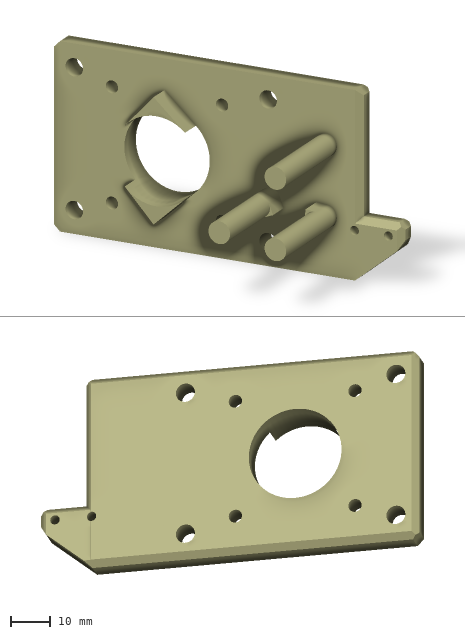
import cadquery as cq
import math

plate_length = 86.3
plate_height = 50.8
plate_thickness = 6.5
bevel = 1.7

tab_end = 98.1
tab_top = 16.9
tab_thickness = 6.3
tab_start = plate_length - bevel
tab_bend = (tab_end - bevel, 9.6)
tab_nose_bottom = 12.4

motor_x = 31.8
motor_z = plate_height / 2
motor_diameter = 24.0
motor_screw_spacing = 31.0
motor_screw_diameter = 3.4

mount_left_x = 5.7
mount_right_x = 60.2
mount_spacing_z = 38.1
mount_diameter = 4.9

tab_hole_xs = (84.6, 94.1)
tab_hole_z = 13.3
tab_hole_diameter = 2.5

pin_diameter = 6.1
pin_length = 28.5
pins = (
    (76.5, 34.9, -99),
    (76.5, 15.9, 129),
    (60.7, 18.0, -24),
)

point_height = 6.1
motor_point_angles = (92.5, -92.5)


def prism(outline, y_start, y_end):
    """Extrude an XZ outline from y_start to y_end."""
    sketch = cq.Workplane("XZ", origin=(0, y_start, 0)).polyline(outline).close()
    return sketch.extrude(y_start - y_end)


def cylinder(x, z, diameter, y_start, y_end):
    """Round bar along Y."""
    sketch = cq.Workplane("XZ", origin=(0, y_start, 0)).center(x, z)
    return sketch.circle(diameter / 2).extrude(y_start - y_end)


def make_plate():
    """Plate with bevels on its upright corners, back edges and front right edge."""
    outline = cq.Workplane("XZ").rect(plate_length, plate_height, centered=False)
    corners = outline.extrude(-plate_thickness).edges("|Y").chamfer(bevel)
    across = cq.Workplane("XY").rect(plate_length, plate_thickness, centered=False)
    sides = across.extrude(plate_height).edges("|Z and (>Y or >X)").chamfer(bevel)
    profile = cq.Workplane("YZ").rect(plate_thickness, plate_height, centered=False)
    edges = profile.extrude(plate_length).edges("|X and >Y").chamfer(bevel)
    return corners.intersect(sides).intersect(edges)


def make_tab():
    """Tab with a sloped underside and bevelled end, top and back edges."""
    outline = prism(
        [
            (tab_start, 0),
            tab_bend,
            (tab_end, tab_nose_bottom),
            (tab_end, tab_top - bevel),
            (tab_end - bevel, tab_top),
            (tab_start, tab_top),
        ],
        0,
        tab_thickness,
    )
    envelope = cq.Workplane("XY").box(tab_end, tab_thickness, tab_top, centered=False)
    end_bevels = envelope.edges("|Z and >X").chamfer(bevel)
    long_bevels = envelope.edges("|X and (>Z or >Y)").chamfer(bevel)
    return outline.intersect(end_bevels).intersect(long_bevels)


def pointed_base(x, z, diameter, angle):
    """Square on the circle centre, with two sides tangent to the circle and a tip at the angle."""
    radius = diameter / 2

    def polar(distance, degrees):
        turn = math.radians(degrees)
        return (x + distance * math.cos(turn), z + distance * math.sin(turn))

    outline = [
        (x, z),
        polar(radius, angle - 45),
        polar(radius * math.sqrt(2), angle),
        polar(radius, angle + 45),
    ]
    return prism(outline, -point_height, plate_thickness / 2)


result = make_plate().union(make_tab())

for point_angle in motor_point_angles:
    result = result.union(pointed_base(motor_x, motor_z, motor_diameter, point_angle))

for pin_x, pin_z, pin_angle in pins:
    result = result.union(cylinder(pin_x, pin_z, pin_diameter, -pin_length, plate_thickness / 2))
    result = result.union(pointed_base(pin_x, pin_z, pin_diameter, pin_angle))

holes = [(motor_x, motor_z, motor_diameter)]
for side in (-1, 1):
    screw_z = motor_z + side * motor_screw_spacing / 2
    for screw_x in (motor_x - motor_screw_spacing / 2, motor_x + motor_screw_spacing / 2):
        holes.append((screw_x, screw_z, motor_screw_diameter))
    mount_z = motor_z + side * mount_spacing_z / 2
    for mount_x in (mount_left_x, mount_right_x):
        holes.append((mount_x, mount_z, mount_diameter))
for tab_hole_x in tab_hole_xs:
    holes.append((tab_hole_x, tab_hole_z, tab_hole_diameter))

for hole_x, hole_z, hole_diameter in holes:
    result = result.cut(cylinder(hole_x, hole_z, hole_diameter, -pin_length, plate_thickness))